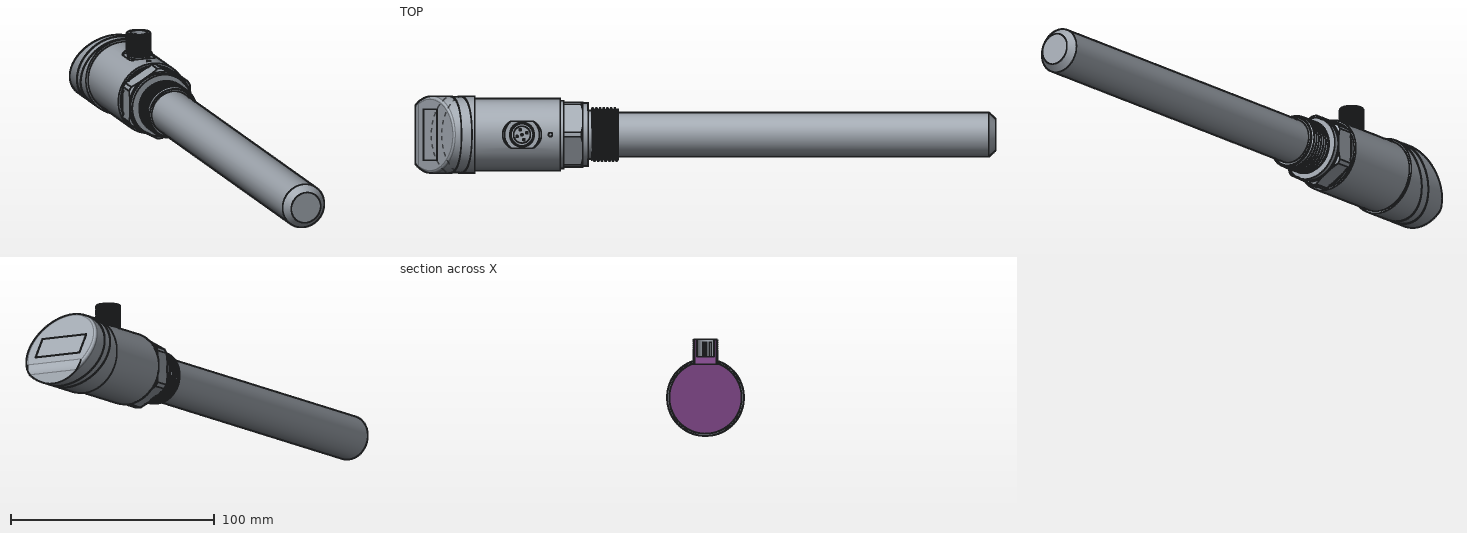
import cadquery as cq
import math


total_height = 47.5

total_length = 285.0
cap_end = 29.4
housing_end = 71.2
hex_start = 73.0
hex_end = 82.5
flange_end = 85.0
thread_start = 86.5
thread_end = 99.8

cap_diameter = 38.0
face_foot_z = -10.3
face_top_x = 18.8
brow_radius = 10.0
face_rim_fillet = 1.5
display_width = 25.0
display_top_z = 6.3
display_bottom_z = -4.0
display_depth = 0.3
band_depth = 0.3
band_width = 5.0
band_front_bottom_x = 7.7
band_front_middle_x = 17.0
band_front_top_x = 22.8

housing_diameter = 35.5
seat_rim_diameter = 19.0
seat_floor_diameter = 17.0
seat_z = 16.5
lamp_x = 66.5
lamp_diameter = 2.0
lamp_depth = 1.0

thread_crest_share = 0.16
thread_base_share = 0.92
thread_sink = 0.3

collar_diameter = 33.3
hex_across_flats = 32.0
hex_round_diameter = 35.5
hex_chamfer_height = 1.5
hex_chamfer_length = 0.9
flange_diameter = 31.0
fitting_thread_diameter = 26.2
fitting_root_diameter = 24.0
fitting_pitch = 1.82
fitting_thread_chamfer = 0.9
probe_diameter = 22.0
tip_flat_diameter = 15.5
tip_chamfer_length = 3.5

connector_x = 52.5
connector_top_z = total_height - cap_diameter / 2
connector_diameter = 12.0
connector_root_diameter = 10.8
connector_pitch = 1.0
connector_plain_length = 1.0
connector_chamfer = 0.43
connector_bore = 8.3
connector_bore_depth = 8.5

outer_pin_count = 4
pin_diameter = 1.0
pin_circle_radius = 2.5
pin_first_angle = 20.0
pin_length = 7.0


def rod(diameter, start, end):
    """Round bar on the sensor axis between two X positions."""
    return cq.Workplane("YZ", origin=(start, 0, 0)).circle(diameter / 2).extrude(end - start)


def helical_ridge(section, pitch, climb):
    """Solid swept by a closed section of (radius, height) corners that climbs a helix around Z."""
    strands = [
        cq.Wire.makeHelix(pitch, climb, radius).translate(cq.Vector(0, 0, height))
        for radius, height in section
    ]
    following = strands[1:] + strands[:1]
    faces = [cq.Face.makeRuledSurface(strand, neighbour) for strand, neighbour in zip(strands, following)]
    for corners in ([strand.startPoint() for strand in strands], [strand.endPoint() for strand in strands]):
        faces.append(cq.Face.makeFromWires(cq.Wire.makePolygon(corners, close=True)))
    return cq.Workplane(obj=cq.Solid.makeSolid(cq.Shell.makeShell(faces)))


def threaded_bar(outer_diameter, root_diameter, pitch, plain_length, length, chamfer):
    """Bar standing on Z = 0 with a helical thread from the plain length to its chamfered top."""
    outer_radius = outer_diameter / 2
    root_radius = root_diameter / 2
    sunk_radius = root_radius - thread_sink * (outer_radius - root_radius)
    half_crest = thread_crest_share * pitch / 2
    half_base = thread_base_share * pitch / 2
    section = [
        (sunk_radius, -half_base),
        (outer_radius, -half_crest),
        (outer_radius, half_crest),
        (sunk_radius, half_base),
    ]
    threaded_length = length - plain_length
    ridge = helical_ridge(section, pitch, threaded_length + 2 * pitch).translate((0, 0, plain_length - pitch))
    envelope = (
        cq.Workplane("XY", origin=(0, 0, plain_length))
        .circle(outer_radius + chamfer)
        .extrude(threaded_length)
        .faces(">Z")
        .chamfer(2 * chamfer)
    )
    core = cq.Workplane("XY").circle(root_radius).extrude(length)
    return core.union(ridge.intersect(envelope))


def face_x(z):
    """X of the sloping display face at height z."""
    return face_top_x * (z - face_foot_z) / (cap_diameter / 2 - face_foot_z)


def make_cap():
    radius = cap_diameter / 2
    slope = math.atan2(radius - face_foot_z, face_top_x)
    face_normal = cq.Vector(-math.sin(slope), 0, math.cos(slope))

    face_bottom_x = face_x(-radius)
    wedge = (
        cq.Workplane("XZ")
        .polyline([(face_bottom_x, -radius), (cap_end, -radius), (cap_end, radius), (face_top_x, radius)])
        .close()
        .extrude(radius, both=True)
    )
    cap = rod(cap_diameter, face_bottom_x, cap_end).intersect(wedge)
    cap = cap.faces(cq.selectors.DirectionMinMaxSelector(face_normal)).edges().fillet(face_rim_fillet)

    brow_outline = [
        (0, -radius),
        (cap_end, -radius),
        (cap_end, radius),
        (face_top_x, radius),
        (0, face_foot_z),
    ]
    brow = (
        cq.Workplane("XZ")
        .polyline(brow_outline)
        .close()
        .extrude(radius, both=True)
        .edges(cq.selectors.NearestToPointSelector((0, 0, face_foot_z)))
        .fillet(brow_radius)
    )
    cap = cap.intersect(brow)

    middle_z = (display_top_z + display_bottom_z) / 2
    display_height = (display_top_z - display_bottom_z) / math.sin(slope)
    face_plane = cq.Plane(origin=(face_x(middle_z), 0, middle_z), xDir=(0, 1, 0), normal=face_normal)
    window = cq.Workplane(face_plane).rect(display_width, display_height).extrude(-display_depth)
    cap = cap.cut(window)

    band = (
        cq.Workplane("XZ")
        .moveTo(band_front_bottom_x, -radius)
        .threePointArc((band_front_middle_x, 0), (band_front_top_x, radius))
        .lineTo(band_front_top_x + band_width, radius)
        .threePointArc((band_front_middle_x + band_width, 0), (band_front_bottom_x + band_width, -radius))
        .close()
        .extrude(radius, both=True)
    )
    return cap.cut(band.cut(rod(cap_diameter - 2 * band_depth, 0, cap_end)))


def make_housing():
    housing = rod(housing_diameter, cap_end, housing_end)
    top_z = housing_diameter / 2
    seat = (
        cq.Workplane("XY", origin=(connector_x, 0, seat_z))
        .circle(seat_floor_diameter / 2)
        .workplane(offset=top_z - seat_z)
        .circle(seat_rim_diameter / 2)
        .loft()
    )
    lamp = (
        cq.Workplane("XY", origin=(lamp_x, 0, top_z - lamp_depth))
        .circle(lamp_diameter / 2)
        .extrude(lamp_depth)
    )
    return housing.cut(seat).cut(lamp)


def make_hexagon():
    """Wrench hexagon with a flat facing each Y side, its corners turned and its end chamfered."""
    corner_diameter = hex_across_flats / math.cos(math.radians(30))
    hexagon = (
        cq.Workplane("YZ", origin=(hex_start, 0, 0))
        .transformed(rotate=(0, 0, 90))
        .polygon(6, corner_diameter)
        .extrude(hex_end - hex_start)
    )
    turned = (
        rod(hex_round_diameter, hex_start, hex_end)
        .faces(">X")
        .edges()
        .chamfer(hex_chamfer_length, hex_chamfer_height)
    )
    return hexagon.intersect(turned)


def make_fitting_thread():
    thread = threaded_bar(
        fitting_thread_diameter,
        fitting_root_diameter,
        fitting_pitch,
        thread_start - flange_end,
        thread_end - flange_end,
        fitting_thread_chamfer,
    )
    return thread.rotate((0, 0, 0), (0, 1, 0), 90).translate((flange_end, 0, 0))


def make_probe():
    tip_chamfer_height = (probe_diameter - tip_flat_diameter) / 2
    tube = (
        rod(probe_diameter, thread_end, total_length)
        .faces(">X")
        .edges()
        .chamfer(tip_chamfer_length, tip_chamfer_height)
    )
    return (
        rod(collar_diameter, housing_end, hex_start)
        .union(make_hexagon())
        .union(rod(flange_diameter, hex_end, flange_end))
        .union(make_fitting_thread())
        .union(tube)
    )


def make_connector():
    shell = threaded_bar(
        connector_diameter,
        connector_root_diameter,
        connector_pitch,
        connector_plain_length,
        connector_top_z - seat_z,
        connector_chamfer,
    ).translate((connector_x, 0, seat_z))
    bore_floor = connector_top_z - connector_bore_depth
    bore = (
        cq.Workplane("XY", origin=(connector_x, 0, bore_floor))
        .circle(connector_bore / 2)
        .extrude(connector_bore_depth)
    )
    return shell.cut(bore)


def make_pin(x, y):
    pin_base = connector_top_z - connector_bore_depth
    return cq.Workplane("XY", origin=(x, y, pin_base)).circle(pin_diameter / 2).extrude(pin_length)


cap = make_cap()
housing = make_housing()
probe = make_probe()
connector = make_connector()

pins = [make_pin(connector_x, 0)]
for i in range(outer_pin_count):
    angle = math.radians(pin_first_angle + i * 360 / outer_pin_count)
    pin_x = connector_x + pin_circle_radius * math.cos(angle)
    pin_y = pin_circle_radius * math.sin(angle)
    pins.append(make_pin(pin_x, pin_y))

result = cq.Compound.makeCompound(
    [cap.val(), housing.val(), probe.val(), connector.val(), *[pin.val() for pin in pins]]
)